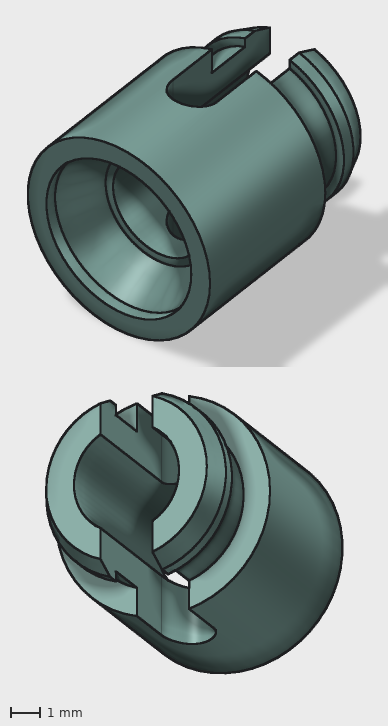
import cadquery as cq

total_length = 9.53
body_length = 6.34
lip_start = 8.17
lip_end = 8.69
slot_floor = 3.22

body_radius = 3.96
neck_radius = 2.98
lip_radius = 3.33
tip_radius = 2.97

entry_radius = 3.145
entry_depth = 0.48
cone_end_radius = 2.27
cone_end_depth = 2.14
hole_radius = 1.94

slot_width = 1.925


def revolved_body():
    """Revolve the half section, drawn as (radius, length), about the Y axis."""
    section = [
        (hole_radius, total_length),
        (tip_radius, total_length),
        (lip_radius, lip_end),
        (lip_radius, lip_start),
        (neck_radius, lip_start),
        (neck_radius, body_length),
        (body_radius, body_length),
        (body_radius, 0),
        (entry_radius, 0),
        (entry_radius, entry_depth),
        (cone_end_radius, cone_end_depth),
        (hole_radius, cone_end_depth),
    ]
    return cq.Workplane("XY").polyline(section).close().revolve(360, (0, 0), (0, 1))


def slot_cutter():
    """Round-bottomed slot, open at the lip end, crossing both walls along Z."""
    half_width = slot_width / 2
    arc_center = slot_floor + half_width
    return (
        cq.Workplane("XY")
        .moveTo(-half_width, total_length)
        .lineTo(-half_width, arc_center)
        .threePointArc((0, slot_floor), (half_width, arc_center))
        .lineTo(half_width, total_length)
        .close()
        .extrude(body_radius, both=True)
    )


result = revolved_body().cut(slot_cutter())